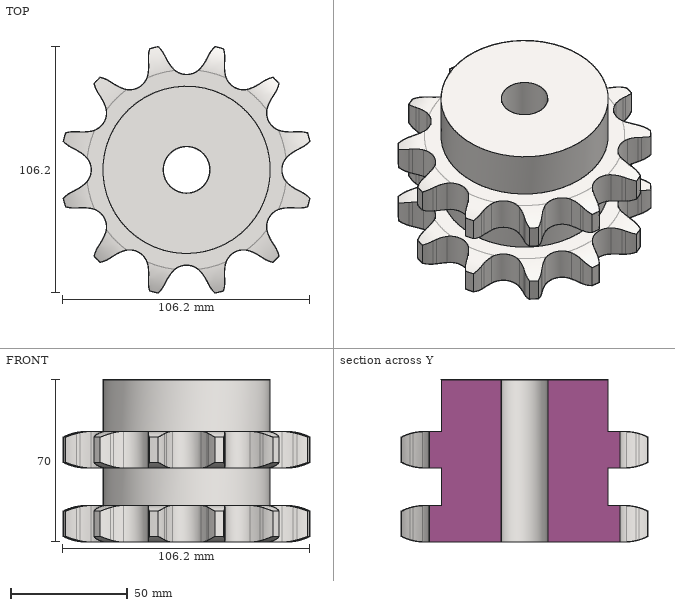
import cadquery as cq
import math


overall_width = 106.2
overall_height = 70.0
tooth_count = 12
chain_pitch = 25.4
roller_diameter = 15.9
seat_radius = 8.0
row_thickness = 15.8
row_spacing = 31.9
row_count = 2
hub_diameter = 72.0
bore_diameter = 20.0
relief_start_radius = 43.1
tip_thickness = 10.8

tooth_step = 360 / tooth_count
pitch_radius = chain_pitch / 2 / math.sin(math.radians(tooth_step / 2))
seat_end_angle = 35 + 60 / tooth_count
working_angle = 18 - 56 / tooth_count
topping_angle = 17 - 64 / tooth_count
working_offset = 0.8 * roller_diameter
topping_offset = 1.4 * roller_diameter
working_radius = working_offset + seat_radius
flat_length = (topping_offset * math.sin(math.radians(topping_angle))
               - working_offset * math.sin(math.radians(working_angle)))
topping_radius = (working_offset * math.cos(math.radians(working_angle))
                  + topping_offset * math.cos(math.radians(topping_angle))
                  - working_radius)


def along(start, distance, angle):
    """Point at a distance and direction (degrees) from a start point."""
    direction = math.radians(angle)
    return (start[0] + distance * math.cos(direction), start[1] + distance * math.sin(direction))


roller_centre = (0, pitch_radius)
flat_normal = working_angle - seat_end_angle
working_centre = along(roller_centre, -working_offset, -seat_end_angle)
seat_root = (0, pitch_radius - seat_radius)
seat_end = along(roller_centre, seat_radius, -seat_end_angle)
working_middle = along(working_centre, working_radius, -seat_end_angle + working_angle / 2)
working_end = along(working_centre, working_radius, flat_normal)
flat_end = along(working_end, flat_length, flat_normal + 90)
topping_centre = along(flat_end, topping_radius, flat_normal)

tip_y = overall_width / 2
tip_angle = 180 - math.degrees(math.asin((tip_y - topping_centre[1]) / topping_radius))
tip_corner = along(topping_centre, topping_radius, tip_angle)
topping_middle = along(topping_centre, topping_radius, (180 + flat_normal + tip_angle) / 2)
outer_radius = math.hypot(*tip_corner)


def turned(point, angle):
    """Point turned about the sprocket axis by an angle in degrees."""
    turn = math.radians(angle)
    return (point[0] * math.cos(turn) - point[1] * math.sin(turn),
            point[0] * math.sin(turn) + point[1] * math.cos(turn))


def mirrored(point):
    """Matching point on the left flank of the gap."""
    return (-point[0], point[1])


def make_toothed_plate():
    """Straight-sided plate with the tooth outline, going round the gaps counter-clockwise."""
    outline = cq.Workplane("XY").moveTo(*tip_corner)
    for gap in range(tooth_count):
        def place(point):
            """Point of the +Y gap moved to this gap."""
            return turned(point, gap * tooth_step)

        tooth_tip = turned((0, outer_radius), (gap + 0.5) * tooth_step)
        next_corner = turned(tip_corner, (gap + 1) * tooth_step)
        outline = (
            outline
            .threePointArc(place(topping_middle), place(flat_end))
            .lineTo(*place(working_end))
            .threePointArc(place(working_middle), place(seat_end))
            .threePointArc(place(seat_root), place(mirrored(seat_end)))
            .threePointArc(place(mirrored(working_middle)), place(mirrored(working_end)))
            .lineTo(*place(mirrored(flat_end)))
            .threePointArc(place(mirrored(topping_middle)), place(mirrored(tip_corner)))
            .threePointArc(tooth_tip, next_corner)
        )
    return outline.close().extrude(row_thickness)


def make_relieved_disc():
    """Disc whose sides curve inwards to the tip thickness, tangent to the flat faces."""
    relief_depth = (row_thickness - tip_thickness) / 2
    relief_length = outer_radius - relief_start_radius
    relief_radius = (relief_length ** 2 + relief_depth ** 2) / (2 * relief_depth)
    half_sweep = math.asin(relief_length / relief_radius) / 2
    middle_radius = relief_start_radius + relief_radius * math.sin(half_sweep)
    middle_depth = relief_radius * (1 - math.cos(half_sweep))
    return (
        cq.Workplane("XZ")
        .lineTo(relief_start_radius, 0)
        .threePointArc((middle_radius, middle_depth), (outer_radius, relief_depth))
        .lineTo(outer_radius, row_thickness - relief_depth)
        .threePointArc((middle_radius, row_thickness - middle_depth), (relief_start_radius, row_thickness))
        .lineTo(0, row_thickness)
        .close()
        .revolve(360, (0, 0, 0), (0, 1, 0))
    )


tooth_row = make_toothed_plate().intersect(make_relieved_disc())

sprocket = cq.Workplane("XY").circle(hub_diameter / 2).extrude(overall_height)
for row in range(row_count):
    sprocket = sprocket.union(tooth_row.translate((0, 0, row * row_spacing)))

bore = cq.Workplane("XY").circle(bore_diameter / 2).extrude(overall_height)
result = sprocket.cut(bore)